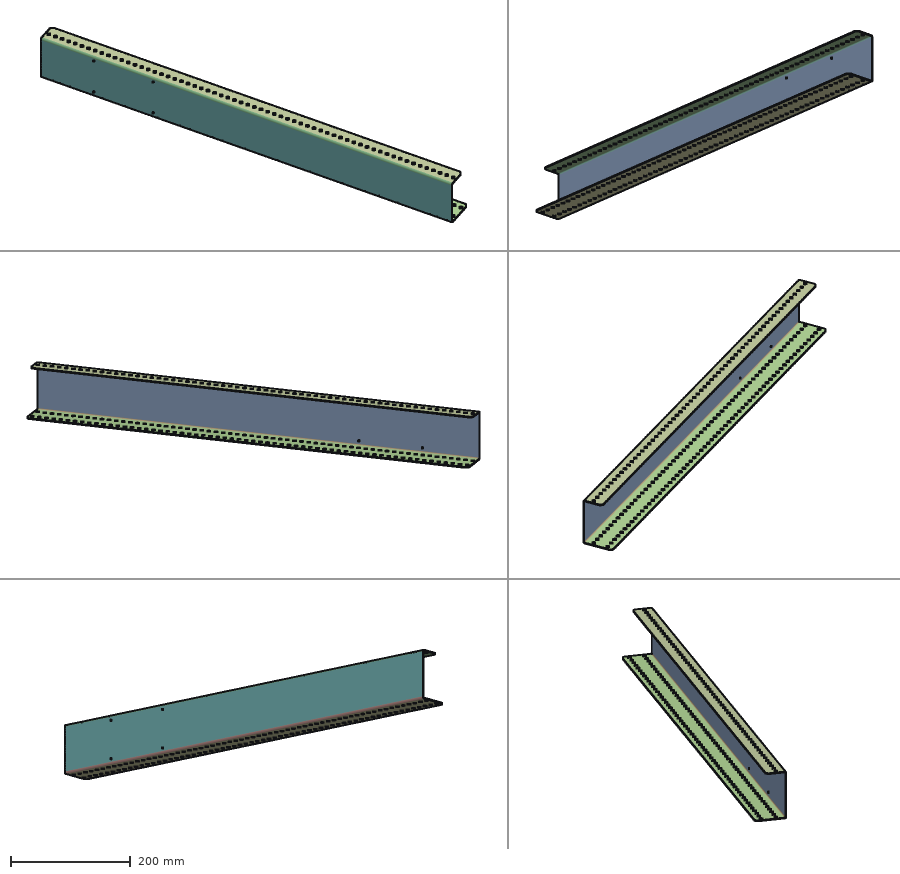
import cadquery as cq

LENGTH = 787.5
BOTTOM_FLANGE = 54.0
TOP_FLANGE = 35.5
HEIGHT = 84.0
THICKNESS = 2.0
INNER_BEND_RADIUS = 1.65
OUTER_BEND_RADIUS = INNER_BEND_RADIUS + THICKNESS
FLANGE_CORNER_RADIUS = 6.0

FLANGE_HOLE_DIAMETER = 5.35
HOLES_PER_ROW = 62
HOLE_PITCH = LENGTH / HOLES_PER_ROW
FRONT_ROW_Y = 16.5
BACK_ROW_Y = 42.5

WEB_HOLE_DIAMETER = 2.5
WEB_HOLE_X = (101.5, 215.0)
WEB_HOLE_SPACING_Z = 66.0


def make_channel():
    """Folded C section, running from x = 0 to x = LENGTH."""
    outer = (
        cq.Workplane("YZ")
        .rect(BOTTOM_FLANGE, HEIGHT, centered=False)
        .extrude(LENGTH)
        .edges("|X and <Y")
        .fillet(OUTER_BEND_RADIUS)
    )
    inner = (
        cq.Workplane("YZ")
        .center(THICKNESS, THICKNESS)
        .rect(BOTTOM_FLANGE, HEIGHT - 2 * THICKNESS, centered=False)
        .extrude(LENGTH)
        .edges("|X and <Y")
        .fillet(INNER_BEND_RADIUS)
    )
    top_trim = (
        cq.Workplane("XY")
        .box(LENGTH, BOTTOM_FLANGE, HEIGHT / 2, centered=False)
        .translate((0, TOP_FLANGE, HEIGHT / 2))
    )
    return outer.cut(inner).cut(top_trim)


def round_flange_corners(channel):
    """Round the free corners at both ends of each flange."""
    rounded = channel
    for flange_tip in (BOTTOM_FLANGE, TOP_FLANGE):
        tip_edges = cq.selectors.BoxSelector(
            (-FLANGE_CORNER_RADIUS, flange_tip - THICKNESS, -THICKNESS),
            (LENGTH + FLANGE_CORNER_RADIUS, flange_tip + THICKNESS, HEIGHT + THICKNESS),
        )
        rounded = rounded.edges("|Z").edges(tip_edges).fillet(FLANGE_CORNER_RADIUS)
    return rounded


def hole_row(y):
    """Upright cutters for one row of holes through both flanges."""
    return (
        cq.Workplane("XY")
        .center(LENGTH / 2, y)
        .rarray(HOLE_PITCH, 8, HOLES_PER_ROW, 1)
        .circle(FLANGE_HOLE_DIAMETER / 2)
        .extrude(HEIGHT)
    )


def web_holes():
    """Cutters for the small holes through the web."""
    half_spacing = WEB_HOLE_SPACING_Z / 2
    centres = [(x, HEIGHT / 2 + side * half_spacing) for x in WEB_HOLE_X for side in (-1, 1)]
    return (
        cq.Workplane("XZ")
        .pushPoints(centres)
        .circle(WEB_HOLE_DIAMETER / 2)
        .extrude(-OUTER_BEND_RADIUS)
    )


result = round_flange_corners(make_channel())
for row_y in (FRONT_ROW_Y, BACK_ROW_Y):
    result = result.cut(hole_row(row_y))
result = result.cut(web_holes())